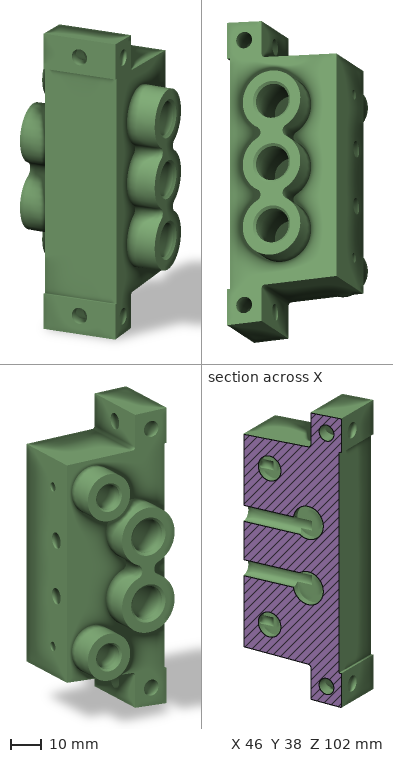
import cadquery as cq
import math

body_width = 26.0
total_depth = 38.0
total_height = 102.0
foot_depth = 12.0
foot_height = 12.1
foot_step = 0.9
back_height = 75.1
end_draft = 2.0
root_fillet = 1.0
mount_hole_diameter = 5.5
mount_hole_y = 5.9
mount_hole_z = 44.7

boss_length = 10.0
boss_draft = 1.0
port_depth = 19.0

main_boss_radius = 10.2
main_bore = 11.4
main_chamfer = 0.8
main_pair_y = 13.0
main_pair_z = 11.5
main_pair_neck_fillet = 2.2
main_row_y = 19.1
main_row_pitch = 21.0
main_row_neck_fillet = 1.8

pilot_boss_radius = 8.3
pilot_bore = 8.6
pilot_chamfer = 0.6
pilot_y = 27.9
pilot_z = 27.5

main_passage_diameter = 5.5
main_passage_z = 9.6
main_passage_opening = 3.4
pilot_passage_diameter = 3.2

side_x = body_width / 2
tip_x = side_x + boss_length
port_floor_x = tip_x - port_depth


def make_body():
    half_height = total_height / 2
    slope = math.tan(math.radians(end_draft))
    foot_back_z = half_height - foot_depth * slope
    block_root_z = back_height / 2 + (total_depth - foot_depth) * slope
    foot_inner_z = half_height - foot_height
    upper = [
        (foot_step, foot_inner_z),
        (0, foot_inner_z),
        (0, half_height),
        (foot_depth, foot_back_z),
        (foot_depth, block_root_z),
        (total_depth, back_height / 2),
    ]
    lower = [(y, -z) for y, z in reversed(upper)]
    block = cq.Workplane("YZ").polyline(upper + lower).close().extrude(side_x, both=True)
    for root_z in (-block_root_z, block_root_z):
        root = cq.selectors.NearestToPointSelector((0, foot_depth, root_z))
        block = block.edges(root).fillet(root_fillet)
    return block


def side_plane(side, x):
    """Plane at distance x on the given side, facing outwards; local x runs along side * Y."""
    return cq.Workplane(cq.Plane((side * x, 0, 0), (0, side, 0), (side, 0, 0)))


def pilot_boss(z):
    sketch = side_plane(-1, side_x).center(-pilot_y, z).circle(pilot_boss_radius)
    return sketch.extrude(boss_length, taper=boss_draft)


def joined_bosses(side, y, heights, pitch, neck_fillet):
    """Evenly spaced main bosses, centred on Z = 0, joined by necks with concave flanks tangent to them."""
    half_pitch = pitch / 2
    reach = main_boss_radius + neck_fillet
    flank_centre = math.sqrt(reach**2 - half_pitch**2)
    waist = flank_centre - neck_fillet
    tangent_y = flank_centre * main_boss_radius / reach
    tangent_z = half_pitch * neck_fillet / reach

    top = heights[-1] + main_boss_radius
    flank = []
    for height in heights[:-1]:
        neck_z = height + half_pitch
        flank.append(((main_boss_radius, height), (tangent_y, neck_z - tangent_z)))
        flank.append(((waist, neck_z), (tangent_y, neck_z + tangent_z)))
    flank.append(((main_boss_radius, heights[-1]), (0, top)))

    outline = side_plane(side, side_x).center(side * y, 0).moveTo(0, -top)
    for turn in (1, -1):
        for middle, end in flank:
            outline = outline.threePointArc(
                (turn * middle[0], turn * middle[1]), (turn * end[0], turn * end[1])
            )
    return outline.close().extrude(boss_length, taper=boss_draft)


def port(side, y, z, diameter, chamfer):
    """Blind bore with a chamfered mouth, starting at the boss tip."""
    radius = diameter / 2
    bore = side_plane(side, tip_x).center(side * y, z).circle(radius).extrude(-port_depth)
    mouth = cq.Solid.makeCone(
        radius + chamfer, radius, chamfer, cq.Vector(side * tip_x, y, z), cq.Vector(-side, 0, 0)
    )
    return bore.union(cq.Workplane(mouth))


def passage(y, z, diameter, opening):
    """Hole from mid port to the back face, cutting a groove of the given width in the port floor."""
    radius = diameter / 2
    axis_x = -port_floor_x - math.sqrt(radius**2 - (opening / 2) ** 2)
    hole = cq.Solid.makeCylinder(radius, total_depth - y, cq.Vector(axis_x, y, z), cq.Vector(0, 1, 0))
    return cq.Workplane(hole)


def mounting_holes(z):
    radius = mount_hole_diameter / 2
    across = cq.Solid.makeCylinder(
        radius, body_width, cq.Vector(-side_x, mount_hole_y, z), cq.Vector(1, 0, 0)
    )
    through = cq.Solid.makeCylinder(radius, foot_depth, cq.Vector(0, 0, z), cq.Vector(0, 1, 0))
    return cq.Workplane(across).union(cq.Workplane(through))


result = make_body()

pair_heights = [-main_pair_z, main_pair_z]
row_heights = [-main_row_pitch, 0, main_row_pitch]
result = result.union(joined_bosses(-1, main_pair_y, pair_heights, 2 * main_pair_z, main_pair_neck_fillet))
result = result.union(joined_bosses(1, main_row_y, row_heights, main_row_pitch, main_row_neck_fillet))
for end in (-1, 1):
    result = result.union(pilot_boss(end * pilot_z))

for height in row_heights:
    result = result.cut(port(1, main_row_y, height, main_bore, main_chamfer))
for end in (-1, 1):
    result = result.cut(port(-1, main_pair_y, end * main_pair_z, main_bore, main_chamfer))
    result = result.cut(port(-1, pilot_y, end * pilot_z, pilot_bore, pilot_chamfer))
    result = result.cut(
        passage(main_pair_y, end * main_passage_z, main_passage_diameter, main_passage_opening)
    )
    result = result.cut(passage(pilot_y, end * pilot_z, pilot_passage_diameter, pilot_passage_diameter))
    result = result.cut(mounting_holes(end * mount_hole_z))